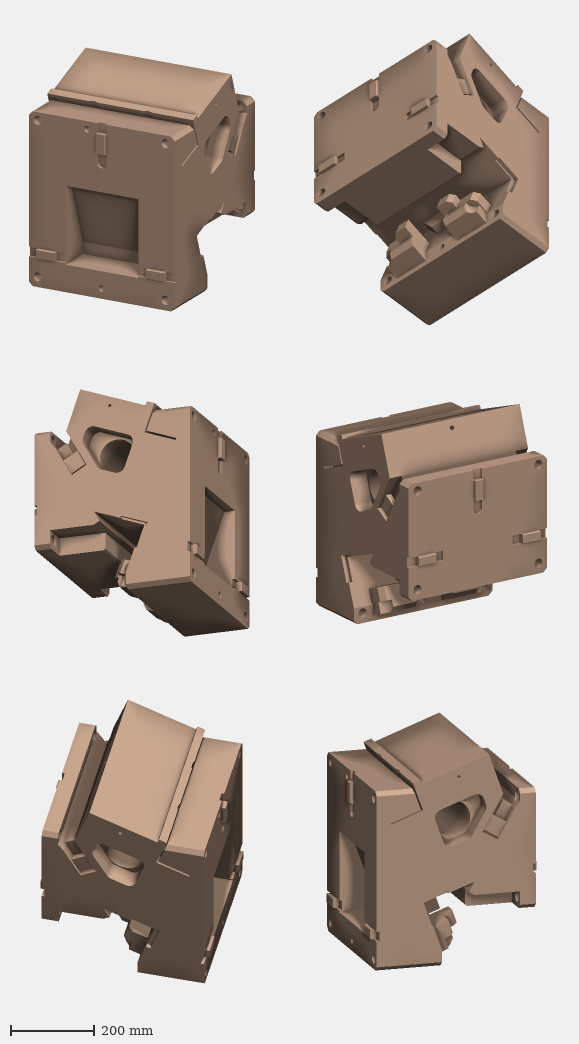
import cadquery as cq
import math

width = 400.0
half_width = width / 2
half_depth = 200.0
front_top = 445.5
back_top = 424.0
back_bottom = 126.5
corner_chamfer = 10.5

contact_angle = math.radians(20)
contact_y = -22.5
overall_height = 518.5

ramp_angle = math.radians(30)
ramp_y = 32.0
ramp_z = 179.5

block_bottom_u = -5.5
block_top_u = 277.5
block_back_v = -212.0
contact_z = (
    overall_height - block_top_u * math.cos(contact_angle) + block_back_v * math.sin(contact_angle)
)
ledge_u = 212.5
flange_front_v = -13.0
flange_back_v = -33.0
flange_top_u = 288.5
scallop_x = 74.5
scallop_radius = 33.0
scallop_depth = 3.0
bore_v = -82.5
bore_u = 147.5
bore_radius = 45.0
opening_top_u = 197.5
opening_bottom_u = 99.0
opening_front_v = -32.5
opening_back_n = 63.5
opening_corner_radius = 20.0
opening_back_v = -163.0
opening_depth = 47.5
lifting_hole_u = 255.5
side_hole_v = -123.5
side_hole_diameter = 8.5
side_hole_depth = 10.5
back_hole_diameter = 12.0
back_hole_depth = 21.0

rail_inner_x = 35.0
rail_outer_x = 176.0
rail_bottom_t = 150.0
rail_top_t = 233.5
ramp_bend_t = 228.0
rail_height = 26.5
hook_inner_x = 179.0
hook_outer_x = 193.5
hook_top_t = 191.5
hook_height = 41.0
recess_bottom_t = 143.5
recess_top_t = 311.0
recess_height = 44.0
recess_inner_x = 165.0

back_plate_thickness = 40.0
ramp_edge_z = 395.0
toe_z = 170.5
toe_y = 42.5
foot_half_width = 135.0
foot_chamfer = 4.0

foot_back_y = -36.5
lower_face_v = 62.0
upper_face_v = -9.0
slot_thickness = 5.0
slot_end_v = 72.5
slot_depth = 26.0
gap_floor_top_u = 232.0
notch_v = 73.0
notch_bottom_u = -67.0
notch_depth = 10.5
window_half_width = 100.0
window_top = 271.0
window_back_top = 101.0
window_bottom = 70.0
window_back_y = -112.0
corbel_back_v = 37.5
corbel_half_width = 78.0
corbel_taper = 46.5
clip_inner_x = 52.0
clip_outer_x = 148.5
clip_shoulder_x = 136.0
clip_neck_x = 93.5
clip_tip_x = 82.0
clip_top_u = -91.0
clip_bottom_u = -126.0
clip_tip_v = -18.0
clip_neck_v = -7.0
clip_ramp_start_v = 10.0
clip_ramp_end_v = 23.0
lug_outer_x = 145.0
lug_bottom_u = -155.5
lug_tip_v = 11.5
lug_root_v = 83.0
lug_corner_radius = 24.0
lug_bottom_chamfer = 12.0

mount_hole_x = 175.0
mount_hole_diameter = 23.5
top_hole_drop = 21.0
bottom_hole_rise = 26.0
pin_hole_x = -40.0
pin_hole_diameter = 16.5
counterbore_diameter = 28.5
counterbore_depth = 10.5
key_width = 24.5
key_length = 51.0
key_height = 9.0
key_chamfer = 1.5
keyway_depth = 7.0
top_keyway_length = 113.0
top_key_drop = 50.5
front_side_key_z = 86.5
back_side_key_z = 225.0
side_key_x = 150.5
over = 5.0


def on_contact(v, u):
    """(Y, Z) of a point v toward the front and u up along the 20 degree contact."""
    y = contact_y - v * math.cos(contact_angle) - u * math.sin(contact_angle)
    z = contact_z - v * math.sin(contact_angle) + u * math.cos(contact_angle)
    return (y, z)


def on_ramp(n, t):
    """(Y, Z) of a point n off and t up along the 30 degree ramp."""
    y = ramp_y - n * math.cos(ramp_angle) + t * math.sin(ramp_angle)
    z = ramp_z + n * math.sin(ramp_angle) + t * math.cos(ramp_angle)
    return (y, z)


def ramp_at_level(n, u):
    """(Y, Z) where the line n off the ramp crosses level u of the contact frame."""
    y, z = on_ramp(n, 0)
    level = -(y - contact_y) * math.sin(contact_angle) + (z - contact_z) * math.cos(contact_angle)
    return on_ramp(n, (u - level) / math.cos(contact_angle + ramp_angle))


def ramp_at_across(n, v):
    """(Y, Z) where the line n off the ramp crosses distance v of the contact frame."""
    y, z = on_ramp(n, 0)
    across = -(y - contact_y) * math.cos(contact_angle) - (z - contact_z) * math.sin(contact_angle)
    return on_ramp(n, (across - v) / math.sin(contact_angle + ramp_angle))


def prism(points, x_start, x_end):
    """A (Y, Z) outline extruded from x_start to x_end."""
    plane = cq.Workplane("YZ", origin=(x_start, 0, 0))
    return plane.polyline(points).close().extrude(x_end - x_start)


def both_sides(solid):
    return solid.union(solid.mirror("YZ"))


def contact_box(v0, v1, u0, u1, x0, x1):
    corners = [on_contact(v0, u0), on_contact(v1, u0), on_contact(v1, u1), on_contact(v0, u1)]
    return prism(corners, x0, x1)


def ramp_box(n0, n1, t0, t1, x0, x1):
    corners = [on_ramp(n0, t0), on_ramp(n1, t0), on_ramp(n1, t1), on_ramp(n0, t1)]
    return prism(corners, x0, x1)


def contact_plane(u):
    """Sketch plane across the contact at level u: local x is X, local y is v, normal is -u."""
    y, z = on_contact(0, u)
    down = (0, math.sin(contact_angle), -math.cos(contact_angle))
    return cq.Workplane(cq.Plane(origin=(0, y, z), xDir=(1, 0, 0), normal=down))


def hole_along_y(x, z, diameter, y_start, y_end):
    plane = cq.Workplane("XZ", origin=(x, y_start, z))
    return plane.circle(diameter / 2).extrude(y_start - y_end)


def add_keys(bracket, face_y, top_z, side_key_z):
    """One upright key under the top edge and a level key near each side, in their keyways."""
    outward = math.copysign(1, face_y)
    floor_y = face_y - outward * keyway_depth
    key_y = (floor_y + face_y + outward * key_height) / 2
    way_y = (floor_y + face_y + outward * over) / 2
    way_size = keyway_depth + over
    key_size = keyway_depth + key_height
    outer_face = ">Y" if outward > 0 else "<Y"

    end_z = top_z - top_keyway_length + key_width / 2
    way_length = top_z + over - end_z
    upright_way = cq.Workplane("XY").box(key_width, way_size, way_length)
    upright_way = upright_way.translate((0, way_y, end_z + way_length / 2))
    upright_way = upright_way.union(
        hole_along_y(0, end_z, key_width, way_y - way_size / 2, way_y + way_size / 2)
    )
    upright_key = cq.Workplane("XY").box(key_width, key_size, key_length)
    upright_key = upright_key.faces(outer_face).edges("|Z").chamfer(key_chamfer)
    bracket = bracket.cut(upright_way)
    bracket = bracket.union(upright_key.translate((0, key_y, top_z - top_key_drop)))

    side_length = half_width - window_half_width
    side_x = (half_width + window_half_width) / 2
    level_way = cq.Workplane("XY").box(side_length, way_size, key_width)
    level_key = cq.Workplane("XY").box(key_length, key_size, key_width)
    level_key = level_key.faces(outer_face).edges("|X").chamfer(key_chamfer)
    for side in (-1, 1):
        bracket = bracket.cut(level_way.translate((side * side_x, way_y, side_key_z)))
        bracket = bracket.union(level_key.translate((side * side_key_x, key_y, side_key_z)))
    return bracket


def front_outline():
    rise = (foot_back_y - contact_y + lower_face_v * math.cos(contact_angle)) / math.sin(contact_angle)
    top_u = (front_top - contact_z + upper_face_v * math.sin(contact_angle)) / math.cos(contact_angle)
    return [
        (-half_depth, 0),
        (foot_back_y, 0),
        on_contact(lower_face_v, -rise),
        on_contact(lower_face_v, block_bottom_u),
        on_contact(0, block_bottom_u),
        on_contact(0, ledge_u + slot_thickness),
        on_contact(upper_face_v, ledge_u + slot_thickness),
        on_contact(upper_face_v, top_u),
        (-half_depth, front_top),
    ]


def make_clip():
    """Hooked clip with a rounded lug below it, on the +X half of the lower face."""
    clip_points = [
        (clip_inner_x, lower_face_v + over),
        (clip_outer_x, lower_face_v + over),
        (clip_outer_x, clip_ramp_end_v),
        (clip_shoulder_x, clip_ramp_start_v),
        (clip_neck_x, clip_ramp_start_v),
        (clip_neck_x, clip_neck_v),
        (clip_tip_x, clip_tip_v),
        (clip_inner_x, clip_tip_v),
    ]
    clip = contact_plane(clip_top_u).polyline(clip_points).close().extrude(clip_top_u - clip_bottom_u)

    lug = contact_plane(clip_bottom_u).moveTo(clip_inner_x, lug_tip_v)
    lug = lug.lineTo(lug_outer_x - lug_corner_radius, lug_tip_v)
    lug = lug.radiusArc((lug_outer_x, lug_tip_v + lug_corner_radius), lug_corner_radius)
    lug = lug.lineTo(lug_outer_x, lug_root_v).lineTo(clip_inner_x, lug_root_v).close()
    lug = lug.extrude(clip_bottom_u - lug_bottom_u)
    bevel = [
        on_contact(lug_tip_v, lug_bottom_u),
        on_contact(lug_tip_v + lug_bottom_chamfer, lug_bottom_u),
        on_contact(lug_tip_v, lug_bottom_u + lug_bottom_chamfer),
    ]
    return clip.union(lug.cut(prism(bevel, 0, half_width)))


def make_corbel():
    """Shelf on the lower face whose ends taper inward toward its underside."""
    height = block_bottom_u - notch_bottom_u
    foot_half = corbel_half_width - corbel_taper
    y, z = on_contact(lower_face_v, block_bottom_u)
    backward = (0, math.cos(contact_angle), math.sin(contact_angle))
    plane = cq.Workplane(cq.Plane(origin=(0, y, z), xDir=(-1, 0, 0), normal=backward))
    outline = [
        (-corbel_half_width, 0),
        (corbel_half_width, 0),
        (foot_half, -height),
        (-foot_half, -height),
    ]
    return plane.polyline(outline).close().extrude(lower_face_v - corbel_back_v)


def make_front_bracket():
    bracket = prism(front_outline(), -half_width, half_width)
    bracket = bracket.edges("|Y").edges("<Z or >Z").chamfer(corner_chamfer)

    slot_inner_x = half_width - slot_depth
    slot_top_u = ledge_u + slot_thickness
    slot = contact_box(-over, slot_end_v, ledge_u, slot_top_u, slot_inner_x, half_width)
    bracket = bracket.cut(both_sides(slot))

    ledge_fill = contact_box(flange_front_v, 0, ledge_u, slot_top_u, -slot_inner_x, slot_inner_x)
    gap_fill = contact_box(
        flange_front_v, upper_face_v, ledge_u, gap_floor_top_u, -slot_inner_x, slot_inner_x
    )
    bracket = bracket.union(ledge_fill).union(gap_fill)

    notch = contact_box(-over, notch_v, notch_bottom_u, 0, half_width - notch_depth, half_width)
    bracket = bracket.cut(both_sides(notch))

    slope_run = (window_top - window_back_top) * math.tan(contact_angle)
    window = [
        (-half_depth, window_top),
        (window_back_y - slope_run, window_top),
        (window_back_y, window_back_top),
        (window_back_y, window_bottom),
        (-half_depth, window_bottom),
    ]
    bracket = bracket.cut(prism(window, -window_half_width, window_half_width))

    bracket = bracket.union(make_corbel()).union(both_sides(make_clip()))

    top_hole_z = front_top - top_hole_drop
    holes = [(0, bottom_hole_rise, pin_hole_diameter), (pin_hole_x, top_hole_z, pin_hole_diameter)]
    for side in (-1, 1):
        for z in (bottom_hole_rise, top_hole_z):
            holes.append((side * mount_hole_x, z, mount_hole_diameter))
    for x, z, diameter in holes:
        bracket = bracket.cut(hole_along_y(x, z, diameter, -half_depth, 0))
    return add_keys(bracket, -half_depth, front_top, front_side_key_z)


def make_back_bracket():
    plate_front_y = half_depth - back_plate_thickness
    heel_drop = (toe_z - ramp_z) / math.sin(ramp_angle)
    outline = [
        (half_depth, back_bottom),
        (half_depth, back_top),
        (plate_front_y, back_top),
        (plate_front_y, ramp_edge_z),
        on_ramp(0, ramp_bend_t),
        on_ramp(0, 0),
        on_ramp(heel_drop, 0),
        (plate_front_y, toe_z),
        (plate_front_y, back_bottom),
    ]
    bracket = prism(outline, -half_width, half_width)
    bracket = bracket.edges("|Y").edges("<Z or >Z").chamfer(corner_chamfer)

    foot_points = [(plate_front_y, back_bottom), (plate_front_y, toe_z), (toe_y, toe_z), (toe_y, back_bottom)]
    foot = prism(foot_points, -foot_half_width, foot_half_width)
    foot = foot.edges("|X and <Y and <Z").chamfer(foot_chamfer)
    bracket = bracket.union(foot)

    for side in (-1, 1):
        for z in (back_bottom + bottom_hole_rise, back_top - top_hole_drop):
            x = side * mount_hole_x
            bore = hole_along_y(x, z, mount_hole_diameter, 0, half_depth)
            seat_y = plate_front_y + counterbore_depth
            bore = bore.union(hole_along_y(x, z, counterbore_diameter, toe_y, seat_y))
            bracket = bracket.cut(bore)

    rail = ramp_box(0, rail_height, rail_bottom_t, rail_top_t, rail_inner_x, rail_outer_x)
    hook = ramp_box(0, hook_height, rail_bottom_t, hook_top_t, hook_inner_x, hook_outer_x)
    bracket = bracket.union(both_sides(rail.union(hook)))

    return add_keys(bracket, half_depth, back_top, back_side_key_z)


def make_opening(x_start, x_end):
    """Four-sided opening with rounded corners, from x_start to x_end."""
    corners = [
        on_contact(opening_front_v, opening_bottom_u),
        on_contact(opening_front_v, opening_top_u),
        on_contact(opening_back_v, opening_top_u),
        ramp_at_across(opening_back_n, opening_back_v),
        ramp_at_level(opening_back_n, opening_bottom_u),
    ]
    return prism(corners, x_start, x_end).edges("|X").fillet(opening_corner_radius)


def make_block():
    outline = [
        on_contact(0, block_bottom_u),
        on_contact(0, ledge_u),
        on_contact(flange_front_v, ledge_u),
        on_contact(flange_front_v, flange_top_u),
        on_contact(flange_back_v, flange_top_u),
        on_contact(flange_back_v, block_top_u),
        on_contact(block_back_v, block_top_u),
        on_ramp(rail_height, rail_top_t),
        on_ramp(0, rail_top_t),
        ramp_at_level(0, block_bottom_u),
    ]
    block = prism(outline, -half_width, half_width)

    groove = ramp_box(0, rail_height, rail_bottom_t, rail_top_t, rail_inner_x, rail_outer_x)
    recess = ramp_box(0, recess_height, recess_bottom_t, recess_top_t, rail_outer_x, half_width)
    shelf = ramp_box(rail_height, recess_height, recess_bottom_t, recess_top_t, recess_inner_x, rail_outer_x)
    block = block.cut(both_sides(groove.union(recess).union(shelf)))

    opening_floor_x = half_width - opening_depth
    block = block.cut(both_sides(make_opening(opening_floor_x, half_width)))
    y, z = on_contact(bore_v, bore_u)
    bore = cq.Workplane("YZ", origin=(-half_width, y, z)).circle(bore_radius).extrude(width)
    block = block.cut(bore)

    scallop_v = flange_front_v - scallop_depth + scallop_radius
    scallops = contact_plane(flange_top_u).pushPoints([(-scallop_x, scallop_v), (scallop_x, scallop_v)])
    block = block.cut(scallops.circle(scallop_radius).extrude(flange_top_u - ledge_u))

    y, z = on_contact(side_hole_v, lifting_hole_u)
    side_hole = cq.Workplane("YZ", origin=(half_width - side_hole_depth, y, z))
    side_hole = side_hole.circle(side_hole_diameter / 2).extrude(side_hole_depth)
    block = block.cut(both_sides(side_hole))
    y, z = on_contact(block_back_v, lifting_hole_u)
    forward = (0, -math.cos(contact_angle), -math.sin(contact_angle))
    back_plane = cq.Workplane(cq.Plane(origin=(0, y, z), xDir=(1, 0, 0), normal=forward))
    return block.cut(back_plane.circle(back_hole_diameter / 2).extrude(back_hole_depth))


front_bracket = make_front_bracket()
back_bracket = make_back_bracket()
block = make_block()
result = cq.Compound.makeCompound([front_bracket.val(), back_bracket.val(), block.val()])